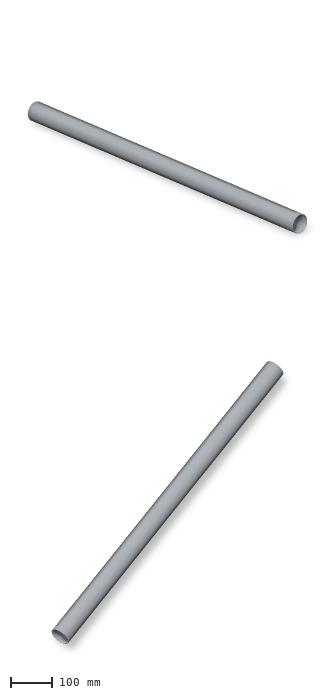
import cadquery as cq

LENGTH = 914.4
OUTER_DIAMETER = 49.63
WALL_THICKNESS = 1.0


def round_tube(length, outer_diameter, wall_thickness):
    """Open-ended tube along X with its middle at the origin."""
    bore_diameter = outer_diameter - 2 * wall_thickness
    return (
        cq.Workplane("YZ", origin=(-length / 2, 0, 0))
        .circle(outer_diameter / 2)
        .circle(bore_diameter / 2)
        .extrude(length)
    )


result = round_tube(LENGTH, OUTER_DIAMETER, WALL_THICKNESS)